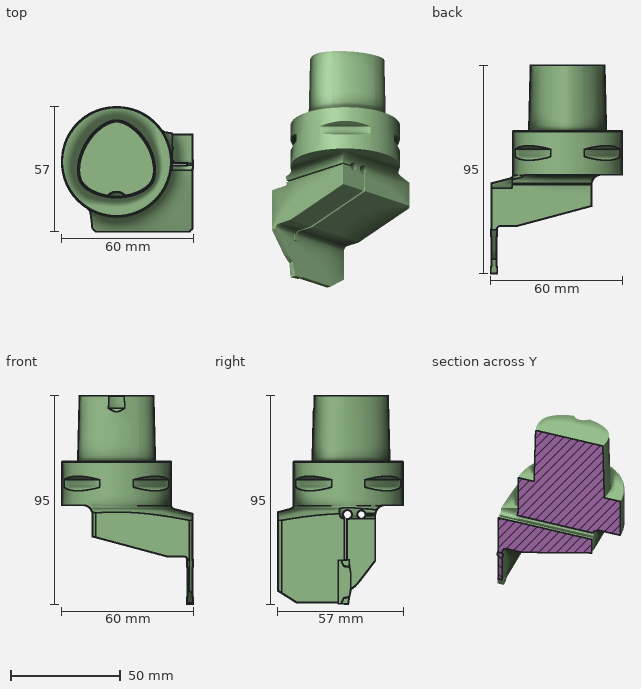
import cadquery as cq
import math


shank_length = 30.0
shank_mean_radius = 17.68
lobe_height = 1.25
taper_per_side = 1 / 40
lobe_directions = (90, 210, 330)
lobe_half_span = 36
points_per_side = 13

notch_radius = 4.9
notch_depth_y = -13.9
notch_wall_height = 5.7
notch_floor_angle = math.radians(40)
notch_chamfer = 0.3

flange_diameter = 50.0
flange_radius = flange_diameter / 2
flange_height = 20.0
flange_chamfer = 0.3
groove_floor_distance = 22.2
groove_floor_top = -8.4
groove_floor_bottom = -11.7
groove_flare = 0.6
groove_fillet = 0.8
groove_overrun = 1.0

block_left = -11.0
block_right = 34.7
block_front = -32.0
block_back = 12.4
corner_chamfer = 1.6
flare_radius = 4.2
cone_angle = math.radians(15)
cone_fillet = 1.2
cone_fillet_top = -20.25
underside_left_z = -34.2
underside_z = -43.3
underside_angle = cone_angle

blade_thickness = 2.4
blade_root_fillet = 1.8
blade_bottom = -64.3
blade_left = block_right - blade_thickness
blade_front_chamfer_y = 8.5
blade_front_chamfer_z = 5.4

jaw_slope_end = (5.6, -54.0)
jaw_arc_middle = (3.1, -56.8)
jaw_arc_end_z = -58.4

pocket_left = 25.3
pocket_front = -4.0
pocket_floor = -26.1
pocket_front_fillet = 2.3
pocket_left_fillet = 0.7
slit_hole_radius = 2.0
hinge_hole_radius = 1.85
hole_z = -(flange_height + flare_radius)
slit_hole_y = -0.35
hinge_hole_y = 6.0
slit_width = 1.1
slit_center_y = -1.15
slit_bottom = -45.0
side_slit_width = 0.8

head_width = 3.0
heel_chamfer = 0.28
insert_top = -44.8
insert_bottom = -65.0
insert_front = -4.6
insert_back = 1.05
insert_end_relief = 0.2
insert_back_top = -50.5
insert_back_bottom = -59.3

top_tip = (0.35, insert_top)
top_heel = (0.65, -48.2)
top_inner = (-2.0, -47.8)
top_front = (-3.2, -45.1)
bottom_tip = (0.0, insert_bottom)
bottom_heel = (0.55, -61.6)
bottom_inner = (-2.0, -62.1)
bottom_front = (-3.2, -64.7)

reach = 60.0


def lobe_point(base_radius, angle, z):
    """Point whose outward normal is at `angle` on a constant-width three-lobed curve."""
    phase = 3 * (angle - math.radians(lobe_directions[0]))
    support = base_radius + lobe_height * math.cos(phase)
    slope = -3 * lobe_height * math.sin(phase)
    x = support * math.cos(angle) - slope * math.sin(angle)
    y = support * math.sin(angle) + slope * math.cos(angle)
    return cq.Vector(x, y, z)


def lobe_section(base_radius, z):
    """Closed section made of a lobe and a flatter side, three times around."""
    joints = []
    for direction in lobe_directions:
        joints.append(direction - lobe_half_span)
        joints.append(direction + lobe_half_span)
    joints.append(joints[0] + 360)
    edges = []
    for start, end in zip(joints[:-1], joints[1:]):
        step = (end - start) / (points_per_side - 1)
        angles = [math.radians(start + i * step) for i in range(points_per_side)]
        edges.append(cq.Edge.makeSpline([lobe_point(base_radius, a, z) for a in angles]))
    return cq.Wire.assembleEdges(edges)


def make_shank():
    end_radius = shank_mean_radius - shank_length * taper_per_side
    sections = [lobe_section(shank_mean_radius, 0), lobe_section(end_radius, shank_length)]
    shank = cq.Workplane(cq.Solid.makeLoft(sections, True))
    wall_bottom = shank_length - notch_wall_height
    notch = (
        cq.Workplane("XZ")
        .moveTo(0, wall_bottom - notch_radius * math.tan(notch_floor_angle))
        .lineTo(notch_radius, wall_bottom)
        .lineTo(notch_radius, shank_length - notch_chamfer)
        .lineTo(notch_radius + notch_chamfer, shank_length)
        .lineTo(0, shank_length)
        .close()
        .revolve(360, (0, 0), (0, 1))
        .translate((0, notch_depth_y - notch_radius, 0))
    )
    return shank.cut(notch)


def make_groove():
    """Gripper groove across the +X side of the flange."""
    outer = flange_radius + groove_overrun
    rise = (outer - groove_floor_distance) * groove_flare
    return (
        cq.Workplane("XZ")
        .polyline([
            (groove_floor_distance, groove_floor_top),
            (groove_floor_distance, groove_floor_bottom),
            (outer, groove_floor_bottom - rise),
            (outer, groove_floor_top + rise),
        ])
        .close()
        .extrude(flange_radius, both=True)
        .edges(cq.selectors.NearestToPointSelector((groove_floor_distance, 0, groove_floor_bottom)))
        .fillet(groove_fillet)
    )


def make_flange():
    flange = (
        cq.Workplane("XY")
        .circle(flange_radius)
        .extrude(-flange_height)
        .faces(">Z")
        .chamfer(flange_chamfer)
    )
    groove = make_groove()
    for i in range(4):
        flange = flange.cut(groove.rotate((0, 0, 0), (0, 0, 1), 45 + 90 * i))
    return flange


def make_cone_envelope():
    """Round space that holds the block: a cone below the flange, blended into the flange."""
    center_r = flange_radius + cone_fillet
    center_z = cone_fillet_top
    middle_angle = math.pi + (math.pi / 2 - cone_angle) / 2
    end_r = center_r - cone_fillet * math.sin(cone_angle)
    end_z = center_z - cone_fillet * math.cos(cone_angle)
    middle = (
        center_r + cone_fillet * math.cos(middle_angle),
        center_z + cone_fillet * math.sin(middle_angle),
    )
    return (
        cq.Workplane("XZ")
        .moveTo(0, -flange_height)
        .lineTo(flange_radius, -flange_height)
        .lineTo(flange_radius, cone_fillet_top)
        .threePointArc(middle, (end_r, end_z))
        .lineTo(reach, end_z - (reach - end_r) * math.tan(cone_angle))
        .lineTo(reach, insert_bottom)
        .lineTo(0, insert_bottom)
        .close()
        .revolve(360, (0, 0), (0, 1))
    )


def make_block():
    """Block and blade: the space shared by a plan, two side profiles and the cone."""
    top = -flange_height
    flare_bottom = top - flare_radius

    left_end = block_left - flare_radius
    back_end = block_back + flare_radius
    left_chamfer_end = block_front + corner_chamfer + flare_radius
    plan = (
        cq.Workplane("XY")
        .polyline([
            (block_left + corner_chamfer, block_front),
            (block_right - corner_chamfer, block_front),
            (block_right, block_front + corner_chamfer),
            (block_right, back_end),
            (left_end, back_end),
            (left_end, left_chamfer_end),
        ])
        .close()
        .extrude(insert_bottom)
    )

    slope_run = (underside_left_z - underside_z) / math.tan(underside_angle)
    root_z = underside_z - blade_root_fillet
    along_x = (
        cq.Workplane("XZ")
        .moveTo(left_end, top)
        .radiusArc((block_left, flare_bottom), flare_radius)
        .lineTo(block_left, underside_left_z)
        .lineTo(block_left + slope_run, underside_z)
        .lineTo(blade_left - blade_root_fillet, underside_z)
        .radiusArc((blade_left, root_z), blade_root_fillet)
        .lineTo(blade_left, blade_bottom)
        .lineTo(block_right, blade_bottom)
        .lineTo(block_right, top)
        .close()
        .extrude(reach, both=True)
    )

    along_y = (
        cq.Workplane("YZ")
        .moveTo(back_end, top)
        .radiusArc((block_back, flare_bottom), -flare_radius)
        .lineTo(block_back, root_z)
        .lineTo(*jaw_slope_end)
        .threePointArc(jaw_arc_middle, (insert_back, jaw_arc_end_z))
        .lineTo(insert_front, blade_bottom)
        .lineTo(block_front + blade_front_chamfer_y, blade_bottom)
        .lineTo(block_front, blade_bottom + blade_front_chamfer_z)
        .lineTo(block_front, top)
        .close()
        .extrude(reach, both=True)
    )
    return make_cone_envelope().intersect(plan).intersect(along_x).intersect(along_y)


def make_pocket():
    """Open pocket beside the flange that lowers the block's top over the blade."""
    return (
        cq.Workplane("XY")
        .box(reach, reach, reach, centered=False)
        .translate((pocket_left, pocket_front, pocket_floor))
        .edges("<Y and <Z")
        .fillet(pocket_front_fillet)
        .edges("<X and <Z")
        .fillet(pocket_left_fillet)
    )


def make_clamp_cuts():
    """Two cross holes, the long slit below one and the short slit out of the other."""
    cutter = cq.Workplane("YZ")
    slit_hole = cutter.center(slit_hole_y, hole_z).circle(slit_hole_radius).extrude(reach, both=True)
    hinge_hole = cutter.center(hinge_hole_y, hole_z).circle(hinge_hole_radius).extrude(reach, both=True)
    slit_height = hole_z - slit_bottom
    slit = (
        cutter
        .center(slit_center_y, slit_bottom + slit_height / 2)
        .rect(slit_width, slit_height)
        .extrude(reach, both=True)
    )
    side_slit = (
        cutter
        .center(hinge_hole_y + reach / 2, hole_z)
        .rect(reach, side_slit_width)
        .extrude(reach, both=True)
    )
    return slit_hole, hinge_hole, slit, side_slit


def make_insert():
    """Double-ended grooving insert: a plate as thick as the blade, with a wider head at each end."""
    mid_x = block_right - blade_thickness / 2

    def plate(points, thickness):
        return (
            cq.Workplane("YZ", origin=(mid_x, 0, 0))
            .polyline(points)
            .close()
            .extrude(thickness / 2, both=True)
        )

    body = plate(
        [
            top_tip,
            top_heel,
            (insert_back, insert_back_top),
            (insert_back, insert_back_bottom),
            bottom_heel,
            bottom_tip,
            (insert_front, insert_bottom + insert_end_relief),
            (insert_front, insert_top - insert_end_relief),
        ],
        blade_thickness,
    )

    def head(tip, heel, inner, front):
        """Wide end of the insert, chamfered along its heel edges."""
        y = (heel[0] + inner[0]) / 2
        z = (heel[1] + inner[1]) / 2
        solid = plate([tip, heel, inner, front], head_width)
        for side in (-1, 1):
            edge_middle = (mid_x + side * head_width / 2, y, z)
            solid = solid.edges(cq.selectors.NearestToPointSelector(edge_middle)).chamfer(heel_chamfer)
        return solid

    top_head = head(top_tip, top_heel, top_inner, top_front)
    bottom_head = head(bottom_tip, bottom_heel, bottom_inner, bottom_front)
    return body.union(top_head).union(bottom_head)


insert = make_insert()

holder = make_flange().union(make_shank()).union(make_block())
holder = holder.cut(make_pocket())
for cut in make_clamp_cuts():
    holder = holder.cut(cut)
holder = holder.cut(insert)

result = cq.Compound.makeCompound([holder.val(), insert.val()])